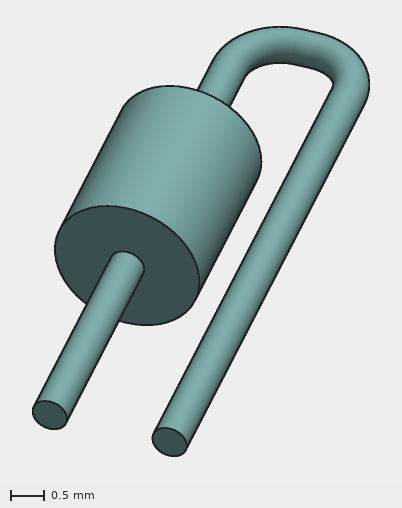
import cadquery as cq

body_diameter = 2.3
body_length = 2.895
lead_diameter = 0.55
lead_pitch = 1.905
bend_radius = 0.82
overall_length = 9.43
front_lead_length = 3.6

lead_radius = lead_diameter / 2
bend_center_y = overall_length - lead_radius - bend_radius
body_back_y = front_lead_length + body_length


def cylinder_along_y(diameter, start_y, length):
    plane = cq.Plane(origin=(0, start_y, 0), xDir=(1, 0, 0), normal=(0, 1, 0))
    return cq.Workplane(plane).circle(diameter / 2).extrude(length)


def bent_lead():
    path = (
        cq.Workplane("XY")
        .moveTo(0, body_back_y)
        .lineTo(0, bend_center_y)
        .radiusArc((bend_radius, bend_center_y + bend_radius), bend_radius)
        .lineTo(lead_pitch - bend_radius, bend_center_y + bend_radius)
        .radiusArc((lead_pitch, bend_center_y), bend_radius)
        .lineTo(lead_pitch, 0)
    )
    start = cq.Plane(origin=(0, body_back_y, 0), xDir=(1, 0, 0), normal=(0, 1, 0))
    return cq.Workplane(start).circle(lead_radius).sweep(path)


body = cylinder_along_y(body_diameter, front_lead_length, body_length)
straight_lead = cylinder_along_y(lead_diameter, 0, front_lead_length)

result = body.union(straight_lead).union(bent_lead())